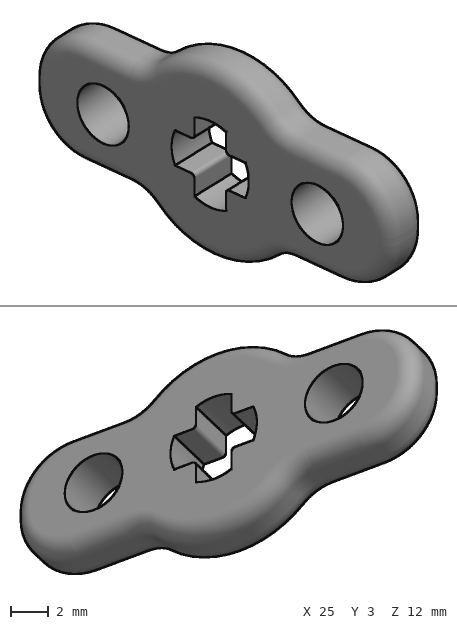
import cadquery as cq
import math

length = 25.0
thickness = 3.0
bar_height = 7.5
hub_radius = 6.0
bar_corner_radius = 3.5
neck_radius = 2.5
edge_radius = 1.0

pin_hole_diameter = 3.6
pin_hole_offset = 7.5
axle_diameter = 5.4
axle_arm_width = 2.2
axle_corner_radius = 0.25


def centred_prism(sketch):
    """Extrude an XZ sketch symmetrically about Y = 0."""
    return sketch.extrude(thickness / 2, both=True)


def make_body():
    half_bar = bar_height / 2
    neck_z = half_bar + neck_radius
    neck_x = math.sqrt((hub_radius + neck_radius) ** 2 - neck_z**2)
    neck_angle = math.atan2(neck_z, neck_x)
    hub_x = hub_radius * math.cos(neck_angle)
    hub_z = hub_radius * math.sin(neck_angle)
    middle_angle = (neck_angle + math.pi / 2) / 2
    middle_x = neck_x - neck_radius * math.cos(middle_angle)
    middle_z = neck_z - neck_radius * math.sin(middle_angle)

    outline = (
        cq.Workplane("XZ")
        .moveTo(-length / 2, -half_bar)
        .lineTo(-neck_x, -half_bar)
        .threePointArc((-middle_x, -middle_z), (-hub_x, -hub_z))
        .threePointArc((0, -hub_radius), (hub_x, -hub_z))
        .threePointArc((middle_x, -middle_z), (neck_x, -half_bar))
        .lineTo(length / 2, -half_bar)
        .lineTo(length / 2, half_bar)
        .lineTo(neck_x, half_bar)
        .threePointArc((middle_x, middle_z), (hub_x, hub_z))
        .threePointArc((0, hub_radius), (-hub_x, hub_z))
        .threePointArc((-middle_x, middle_z), (-neck_x, half_bar))
        .lineTo(-length / 2, half_bar)
        .close()
    )
    body = centred_prism(outline)
    body = body.edges("|Y and (<X or >X)").fillet(bar_corner_radius)
    return body.faces("<Y or >Y").edges().fillet(edge_radius)


def make_pin_holes():
    centres = [(-pin_hole_offset, 0), (pin_hole_offset, 0)]
    return centred_prism(cq.Workplane("XZ").pushPoints(centres).circle(pin_hole_diameter / 2))


def make_axle_hole():
    """Cross-shaped opening whose arm ends follow a common circle."""
    across = centred_prism(cq.Workplane("XZ").rect(axle_diameter, axle_arm_width))
    upright = centred_prism(cq.Workplane("XZ").rect(axle_arm_width, axle_diameter))
    reach = axle_arm_width / 2 + axle_corner_radius
    inner_corners = cq.selectors.BoxSelector((-reach, -thickness, -reach), (reach, thickness, reach))
    cross = across.union(upright).edges("|Y").edges(inner_corners).fillet(axle_corner_radius)
    return cross.intersect(centred_prism(cq.Workplane("XZ").circle(axle_diameter / 2)))


result = make_body().cut(make_pin_holes()).cut(make_axle_hole())